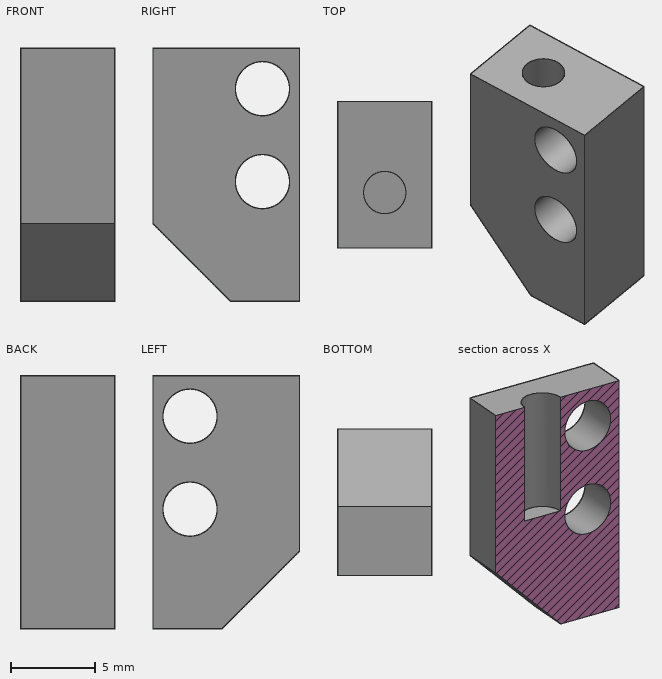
import cadquery as cq

width = 5.6
depth = 8.7
height = 15.0
chamfer_leg = 4.6

cross_hole_diameter = 3.2
cross_hole_back_distance = 2.2
cross_hole_top_distance = 2.4
cross_hole_spacing = 5.5

top_hole_diameter = 2.5
top_hole_front_distance = 3.3
top_hole_depth = 7.5


def make_body():
    """Side profile with the sloped lower front, extruded across the width."""
    profile = [
        (chamfer_leg, 0),
        (depth, 0),
        (depth, height),
        (0, height),
        (0, chamfer_leg),
    ]
    return cq.Workplane("YZ").polyline(profile).close().extrude(width / 2, both=True)


def make_cross_holes():
    hole_y = depth - cross_hole_back_distance
    upper_z = height - cross_hole_top_distance
    centers = [(hole_y, upper_z), (hole_y, upper_z - cross_hole_spacing)]
    return (
        cq.Workplane("YZ")
        .pushPoints(centers)
        .circle(cross_hole_diameter / 2)
        .extrude(width, both=True)
    )


def make_top_hole():
    return (
        cq.Workplane("XY", origin=(0, top_hole_front_distance, height))
        .circle(top_hole_diameter / 2)
        .extrude(-top_hole_depth)
    )


result = make_body().cut(make_cross_holes()).cut(make_top_hole())